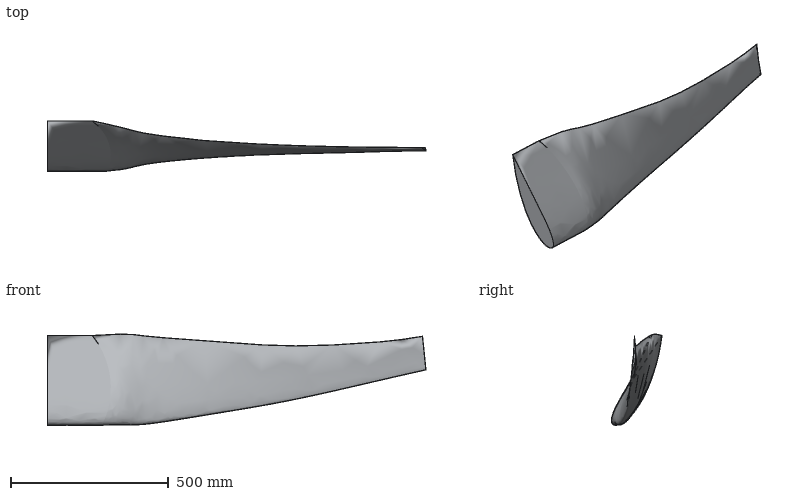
import cadquery as cq
import math

shapes = cq.occ_impl.shapes

root_trailing = (162.0, 287.0)
root_nose = (8.0, 4.0)
root_thickness = 0.19
camber_ratio = 0.04
seam_crest_x = 201.0
seam_crest_z = 120.0
seam_radius = 263.0

length = 1199.0
tip_trailing = (74.0, 284.0)
tip_nose = (67.0, 177.0)
tip_thickness = 0.07
tip_slant = 11.0

blade_stations = [
    (278.0, (130.0, 289.0), (24.0, 4.0), 0.17),
    (386.0, (111.0, 278.0), (38.0, 15.0), 0.13),
    (549.0, (95.0, 266.0), (50.0, 42.0), 0.11),
    (711.0, (83.0, 255.0), (58.0, 70.0), 0.1),
    (874.0, (77.0, 255.0), (61.0, 103.0), 0.09),
    (1036.0, (74.0, 265.0), (65.0, 140.0), 0.08),
]

profile_steps = 10


def half_thickness(s):
    """Closed-edge NACA four-digit half thickness for unit thickness at chord fraction s."""
    return 5 * (0.2969 * math.sqrt(s) - 0.126 * s - 0.3516 * s**2 + 0.2843 * s**3 - 0.1036 * s**4)


def section(trailing, nose, thickness, x_at):
    """Cambered aerofoil wire; x_at(z) places each of its points along the blade."""
    chord_y = trailing[0] - nose[0]
    chord_z = trailing[1] - nose[1]

    def point(s, side):
        offset = 4 * camber_ratio * s * (1 - s) + side * thickness * half_thickness(s)
        y = nose[0] + chord_y * s + chord_z * offset
        z = nose[1] + chord_z * s - chord_y * offset
        return cq.Vector(x_at(z), y, z)

    fractions = [1 - math.cos(math.pi / 2 * i / profile_steps) for i in range(profile_steps + 1)]
    upper = [point(s, 1) for s in reversed(fractions)]
    lower = [point(s, -1) for s in fractions[1:-1]]
    points = upper + lower + upper[:1]
    outline = cq.Edge.makeSpline(points, parameters=range(len(points)))
    return cq.Wire.assembleEdges([outline])


def flat(x):
    return lambda z: x


def seam_x(z):
    """Circular seam where the stub starts to taper into the blade."""
    drop = z - seam_crest_z
    return seam_crest_x - seam_radius + math.sqrt(seam_radius**2 - drop**2)


def tip_x(z):
    """Slanted plane of the tip face."""
    return length - tip_slant * (z - tip_nose[1]) / (tip_trailing[1] - tip_nose[1])


root_wire = section(root_trailing, root_nose, root_thickness, flat(0))
seam_wire = section(root_trailing, root_nose, root_thickness, seam_x)
tip_wire = section(tip_trailing, tip_nose, tip_thickness, tip_x)
blade_wires = [section(trailing, nose, thickness, flat(x)) for x, trailing, nose, thickness in blade_stations]

stub_skin = shapes.loft(root_wire, seam_wire, ruled=True)
blade_skin = shapes.loft(seam_wire, *blade_wires, tip_wire)

root_face = cq.Face.makeFromWires(root_wire)
tip_face = cq.Face.makeFromWires(tip_wire)
shell = shapes.shell(*stub_skin.Faces(), *blade_skin.Faces(), root_face, tip_face)
result = cq.Workplane(shapes.solid(shell))